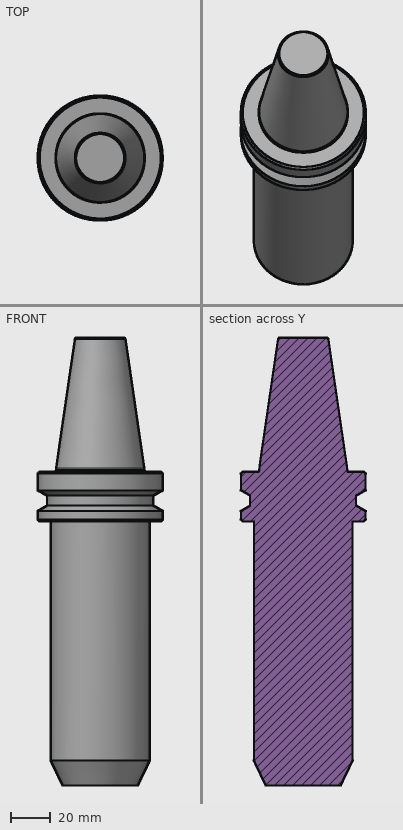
import cadquery as cq

total_height = 225.5
nose_height = 12.6
flange_bottom = 132.8
groove_bottom = 140.9
groove_top = 145.8
flange_top = 158.0
foot_top = 159.0
gauge_plane = 160.0

nose_diameter = 37.9
body_diameter = 50.0
flange_diameter = 63.0
groove_diameter = 53.6
gauge_diameter = 44.5
foot_diameter = 45.0

taper_ratio = 7 / 24
groove_flank_height = 2.7
flange_chamfer = 1.1
taper_end_chamfer = 0.7

nose_radius = nose_diameter / 2
body_radius = body_diameter / 2
flange_radius = flange_diameter / 2
groove_radius = groove_diameter / 2
gauge_radius = gauge_diameter / 2
foot_radius = foot_diameter / 2


def taper_radius(height):
    """Radius of the shank cone at a height above the gauge plane."""
    return gauge_radius - (height - gauge_plane) * taper_ratio / 2


chamfer_start = total_height - taper_end_chamfer

profile = [
    (0, 0),
    (nose_radius, 0),
    (body_radius, nose_height),
    (body_radius, flange_bottom),
    (flange_radius - flange_chamfer, flange_bottom),
    (flange_radius, flange_bottom + flange_chamfer),
    (flange_radius, groove_bottom - groove_flank_height),
    (groove_radius, groove_bottom),
    (groove_radius, groove_top),
    (flange_radius, groove_top + groove_flank_height),
    (flange_radius, flange_top - flange_chamfer),
    (flange_radius - flange_chamfer, flange_top),
    (foot_radius, flange_top),
    (gauge_radius, foot_top),
    (gauge_radius, gauge_plane),
    (taper_radius(chamfer_start), chamfer_start),
    (taper_radius(chamfer_start) - taper_end_chamfer, total_height),
    (0, total_height),
]

result = (
    cq.Workplane("XZ")
    .polyline(profile)
    .close()
    .revolve(360, (0, 0, 0), (0, 1, 0))
)